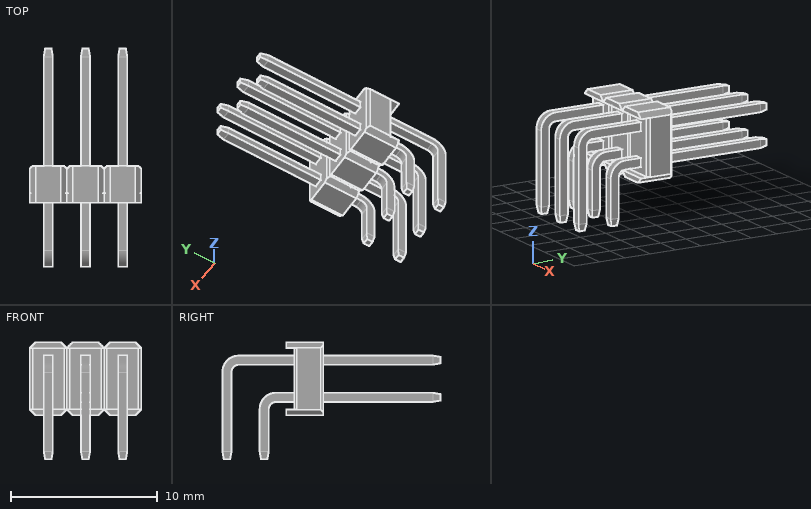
import cadquery as cq
import math


columns = 3
rows = 2
housing_width = 7.61
pitch = housing_width / columns

housing_height = 5.0
housing_depth = pitch
core_depth = 2.0
cell_chamfer = 0.4
lip_edge = 0.007
lip_thickness = cell_chamfer + lip_edge
notch_size = 0.2

pin_width = 0.64
bend_inner_radius = 0.49
bend_outer_radius = bend_inner_radius + pin_width
bend_radius = bend_inner_radius + pin_width / 2
pin_length = 14.9
straight_reach = 8.0
tail_face_y = straight_reach - pin_length
tail_drop = 3.0
tip_length = 0.55
tip_end_width = 0.45

column_x = [(column - (columns - 1) / 2) * pitch for column in range(columns)]
row_z = [(row - (rows - 1) / 2) * pitch for row in range(rows)]
tail_y = [tail_face_y + pin_width / 2 + (rows - 1 - row) * pitch for row in range(rows)]
tail_end_z = -housing_height / 2 - tail_drop


def make_cell(x):
    """One cell of the housing, with chamfered lips, notched corners and a recessed front."""
    block = (
        cq.Workplane("XY")
        .box(pitch, housing_depth, housing_height, centered=(True, False, True))
        .translate((x, -housing_depth, 0))
        .edges("|Y")
        .chamfer(cell_chamfer)
    )
    recess_depth = housing_depth - core_depth
    recess_height = housing_height - 2 * lip_thickness
    recess = (
        cq.Workplane("XY")
        .box(pitch, recess_depth, recess_height, centered=(True, False, True))
        .translate((x, -housing_depth, 0))
    )
    block = block.cut(recess)
    for side in (-1, 1):
        edge_x = x + side * pitch / 2
        block = block.cut(make_notch(edge_x, side, 0, -1, housing_height))
        block = block.cut(make_notch(edge_x, side, -core_depth, 1, recess_height))
    return block


def make_notch(x, side, y, inward, height):
    """The triangular prism that chamfers a vertical cell corner at (x, y)."""
    return (
        cq.Workplane("XY", origin=(0, 0, -height / 2))
        .moveTo(x, y)
        .lineTo(x - side * notch_size, y)
        .lineTo(x, y + inward * notch_size)
        .close()
        .extrude(height)
    )


def make_tip(base):
    """A square tip that narrows along the normal of its base plane."""
    return (
        cq.Workplane(base)
        .rect(pin_width, pin_width)
        .workplane(offset=tip_length)
        .rect(tip_end_width, tip_end_width)
        .loft(ruled=True)
    )


def make_pin(x, row):
    """One pin: straight arm along Y, a quarter bend, a tail along Z and a tip at each end."""
    y = tail_y[row]
    z = row_z[row]
    arm_end_y = straight_reach - tip_length
    arm_start_y = y + bend_radius
    tail_top_z = z - bend_radius
    tail_bottom_z = tail_end_z + tip_length

    half = pin_width / 2
    diagonal = math.sqrt(0.5)
    outer_shift = bend_outer_radius * diagonal
    inner_shift = bend_inner_radius * diagonal
    outer_mid = (arm_start_y - outer_shift, tail_top_z + outer_shift)
    inner_mid = (arm_start_y - inner_shift, tail_top_z + inner_shift)
    shaft = (
        cq.Workplane("YZ", origin=(x - half, 0, 0))
        .moveTo(arm_end_y, z + half)
        .lineTo(arm_start_y, z + half)
        .threePointArc(outer_mid, (y - half, tail_top_z))
        .lineTo(y - half, tail_bottom_z)
        .lineTo(y + half, tail_bottom_z)
        .lineTo(y + half, tail_top_z)
        .threePointArc(inner_mid, (arm_start_y, z - half))
        .lineTo(arm_end_y, z - half)
        .close()
        .extrude(pin_width)
    )
    arm_tip = make_tip(cq.Plane(origin=(x, arm_end_y, z), xDir=(1, 0, 0), normal=(0, 1, 0)))
    tail_tip = make_tip(cq.Plane(origin=(x, y, tail_bottom_z), xDir=(1, 0, 0), normal=(0, 0, -1)))
    return shaft.union(arm_tip).union(tail_tip)


pins = [make_pin(x, row) for row in range(rows) for x in column_x]

housing = make_cell(column_x[0])
for x in column_x[1:]:
    housing = housing.union(make_cell(x))
for pin in pins:
    housing = housing.cut(pin)

result = cq.Compound.makeCompound([housing.val(), *[pin.val() for pin in pins]])